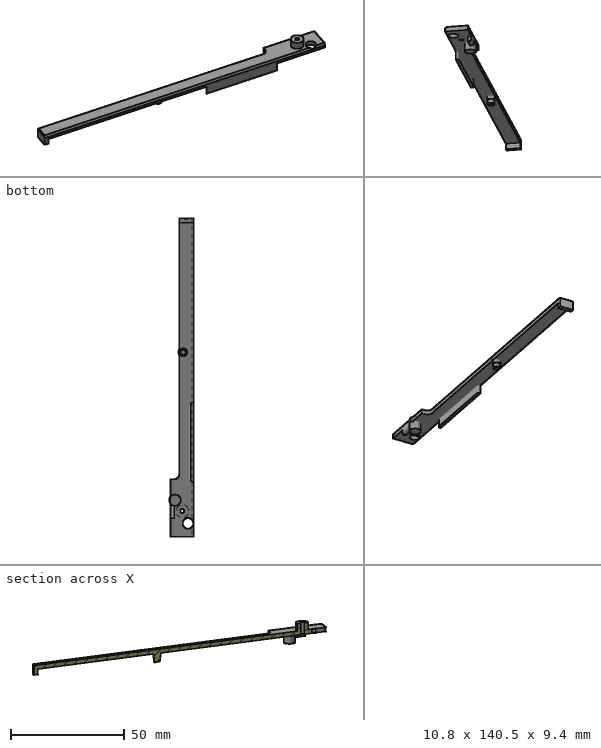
import cadquery as cq

length = 140.5
wide_width = 10.3
thickness = 2.1
notch_width = 3.8
shoulder_y = 115.0
notch_radius = 2.2
long_edge_chamfer = 0.8
front_edge_chamfer = 0.4

lip_thickness = 2.0
lip_bottom = -4.6

underside = -6.0
root_fillet = 0.4

boss_x = 5.2
boss_y = 129.1
boss_diameter = 5.6
boss_height = 3.4
boss_bore = 1.7

hole_x = 7.7
hole_y = 134.6
hole_diameter = 4.6

peg_diameter = 5.0
peg_overhang = 0.5
peg_x = peg_diameter / 2 - peg_overhang
peg_y = 124.3

pin_x = 5.6
pin_y = 59.2
pin_diameter = 3.5
pin_tip_diameter = 3.1
pin_step_z = -3.8
pin_tip_chamfer = 0.4

rail_width = 1.4
rail_start = 81.0
rail_end = 116.3
rail_corner_radius = 1.3

block_start = 126.3
block_end = 132.2
block_width = 1.7
block_bottom = -4.2
block_edge_radius = 1.3


def box(x0, x1, y0, y1, z0, z1):
    """Box given by its limits along each axis."""
    return cq.Workplane("XY").box(x1 - x0, y1 - y0, z1 - z0, centered=False).translate((x0, y0, z0))


def cylinder(x, y, diameter, z0, z1):
    """Upright cylinder between two levels."""
    return cq.Workplane("XY", origin=(x, y, z0)).circle(diameter / 2).extrude(z1 - z0)


def root_flare(x, y, diameter):
    """Concave ring blending a round post into the underside of the plate."""
    radius = diameter / 2
    flare_depth = -thickness - root_fillet
    center = (radius + root_fillet, flare_depth)
    arc_offset = root_fillet * 0.5**0.5
    profile = (
        cq.Workplane("XZ")
        .moveTo(0, -thickness)
        .lineTo(radius + root_fillet, -thickness)
        .threePointArc((center[0] - arc_offset, center[1] + arc_offset), (radius, flare_depth))
        .lineTo(0, flare_depth)
        .close()
    )
    return profile.revolve(360, (0, 0, 0), (0, 1, 0)).translate((x, y, 0))


def make_plate():
    """Stepped plate with its front lip and chamfered top edges."""
    plate = box(0, wide_width, 0, length, -thickness, 0)
    notch = box(0, notch_width, 0, shoulder_y, -thickness, 0)
    notch = notch.edges("|Z and >X and >Y").fillet(notch_radius)
    lip = box(notch_width, wide_width, 0, lip_thickness, lip_bottom, 0)
    plate = plate.cut(notch).union(lip)
    plate = plate.edges(">Z and >X").chamfer(long_edge_chamfer)
    return plate.edges(">Z and <Y").chamfer(front_edge_chamfer)


def make_rail():
    """Rail with rounded inner corners and a filleted root."""
    inner_x = wide_width - rail_width
    rail = box(inner_x, wide_width, rail_start, rail_end, underside, -thickness)
    rail = rail.edges("|Z and <X").fillet(rail_corner_radius)
    plate_patch = box(0, wide_width, 0, length, -thickness, 0)
    root_zone = cq.selectors.BoxSelector(
        (inner_x - root_fillet, rail_start - root_fillet, -thickness - root_fillet),
        (wide_width - root_fillet, rail_end + root_fillet, -thickness + root_fillet),
    )
    blended = plate_patch.union(rail).edges(root_zone).edges("#Z").fillet(root_fillet)
    return blended.cut(plate_patch)


def make_peg():
    """Peg whose flared root stops at the left edge of the plate."""
    peg = cylinder(peg_x, peg_y, peg_diameter, underside, -thickness)
    under_plate = box(0, wide_width, shoulder_y, length, underside, 0)
    return peg.union(root_flare(peg_x, peg_y, peg_diameter).intersect(under_plate))


def make_pin():
    """Stepped pin with a chamfered tip and a flared root."""
    tip = cylinder(pin_x, pin_y, pin_tip_diameter, underside, -thickness)
    tip = tip.faces("<Z").edges().chamfer(pin_tip_chamfer)
    pin = cylinder(pin_x, pin_y, pin_diameter, pin_step_z, -thickness).union(tip)
    return pin.union(root_flare(pin_x, pin_y, pin_diameter))


def make_block():
    """Block with a rounded lower outer edge."""
    block = box(0, block_width, block_start, block_end, block_bottom, -thickness)
    return block.edges("<X and <Z").fillet(block_edge_radius)


boss = cylinder(boss_x, boss_y, boss_diameter, -thickness, boss_height)
bore = cylinder(boss_x, boss_y, boss_bore, -thickness, boss_height)
hole = cylinder(hole_x, hole_y, hole_diameter, -thickness, 0)

result = make_plate().union(boss).cut(bore).cut(hole)
for feature in (make_rail(), make_peg(), make_pin(), make_block()):
    result = result.union(feature)